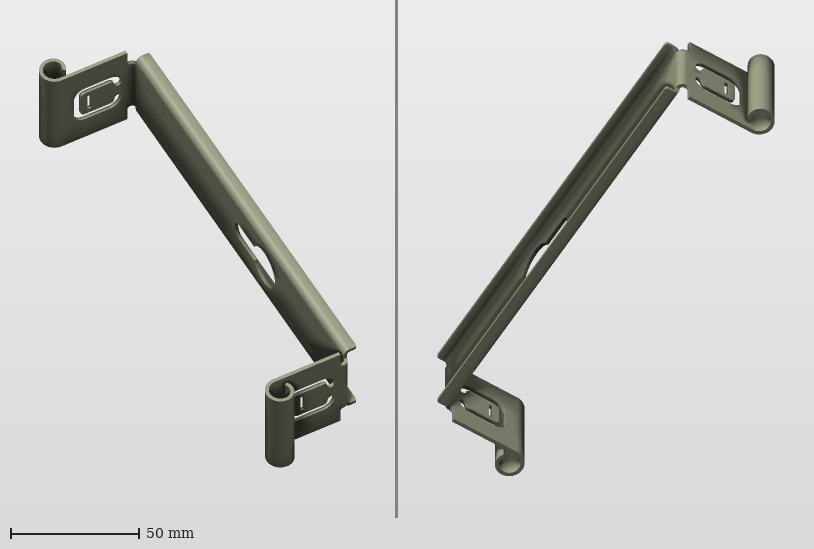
import cadquery as cq
import math

thickness = 1.5
bend_inner = 1.5
bend_outer = bend_inner + thickness

overall_length = 197.0
overall_depth = 44.0
leg_height = 40.0

channel_height = 34.0
flange_reach = 4.5
flange_corner_radius = 1.0

curl_outer = 6.0
curl_tail_outer = 5.0
curl_tail_sweep = 129.0
curl_inner = curl_outer - thickness
curl_tail_inner = curl_tail_outer - thickness
leg_inside_x = overall_length / 2 - 2 * curl_outer
leg_outside_x = leg_inside_x + thickness
channel_half_length = leg_outside_x - bend_outer
curl_x = leg_inside_x + curl_outer
curl_y = flange_reach - overall_depth + curl_outer
curl_tail_x = curl_x + curl_outer - curl_tail_outer

neck_height = 25.5
relief_radius = 1.4
relief_front_y = -(bend_outer + relief_radius)

keyhole_slot_width = 8.2
keyhole_slot_x = 0.0
keyhole_circle_diameter = 18.0
keyhole_circle_x = 20.0

tongue_slot_width = 3.0
tongue_path_height = 15.5
tongue_path_back_y = -8.6
tongue_path_front_y = -26.6
tongue_path_radius = 3.5
tongue_slot_end_z = tongue_path_height / 2 - tongue_path_radius

window_width = 1.7
window_height = 8.0
window_y = -21.3


def polar(center_x, center_y, radius, degrees):
    """Point on a circle at the given angle from +X."""
    angle = math.radians(degrees)
    return (center_x + radius * math.cos(angle), center_y + radius * math.sin(angle))


def make_channel():
    """Web with both flanges bent towards +Y."""
    half_height = channel_height / 2
    section = (
        cq.Workplane("YZ")
        .moveTo(flange_reach, half_height)
        .lineTo(bend_inner, half_height)
        .radiusArc((-thickness, half_height - bend_outer), -bend_outer)
        .lineTo(-thickness, bend_outer - half_height)
        .radiusArc((bend_inner, -half_height), -bend_outer)
        .lineTo(flange_reach, -half_height)
        .lineTo(flange_reach, thickness - half_height)
        .lineTo(bend_inner, thickness - half_height)
        .radiusArc((0, bend_outer - half_height), bend_inner)
        .lineTo(0, half_height - bend_outer)
        .radiusArc((bend_inner, half_height - thickness), bend_inner)
        .lineTo(flange_reach, half_height - thickness)
        .close()
    )
    channel = section.extrude(channel_half_length, both=True)
    return channel.edges("|Z and >Y").fillet(flange_corner_radius)


def make_leg_strip():
    """Bend, straight leg and two-radius curl of the +X end, at full leg height."""
    tail_middle_angle = curl_tail_sweep / 2
    section = (
        cq.Workplane("XY")
        .moveTo(channel_half_length, 0)
        .radiusArc((leg_outside_x, -bend_outer), bend_outer)
        .lineTo(leg_outside_x, curl_y)
        .threePointArc((curl_x, curl_y - curl_inner), (curl_x + curl_inner, curl_y))
        .threePointArc(
            polar(curl_tail_x, curl_y, curl_tail_inner, tail_middle_angle),
            polar(curl_tail_x, curl_y, curl_tail_inner, curl_tail_sweep),
        )
        .lineTo(*polar(curl_tail_x, curl_y, curl_tail_outer, curl_tail_sweep))
        .threePointArc(
            polar(curl_tail_x, curl_y, curl_tail_outer, tail_middle_angle),
            (curl_x + curl_outer, curl_y),
        )
        .threePointArc((curl_x, curl_y - curl_outer), (leg_inside_x, curl_y))
        .lineTo(leg_inside_x, -bend_outer)
        .radiusArc((channel_half_length, -thickness), -bend_inner)
        .close()
    )
    return section.extrude(leg_height / 2, both=True)


def make_reliefs():
    """Notch cutters above and below the neck, rounded at the inner corner."""
    relief_length = bend_outer
    relief_height = (leg_height - neck_height) / 2
    relief_depth = -relief_front_y
    upper = (
        cq.Workplane("XY")
        .box(relief_length, relief_depth, relief_height, centered=False)
        .edges("|X and <Y and <Z")
        .fillet(relief_radius)
        .translate((channel_half_length, relief_front_y, neck_height / 2))
    )
    return upper.union(upper.mirror("XY"))


def leg_plane():
    """Sketch plane on the inside face of the +X leg; local axes are Y and Z."""
    return cq.Workplane("YZ", origin=(leg_inside_x, 0, 0))


def make_tongue_cutter():
    """C-shaped slot with round ends, open towards the web, plus the window."""
    half_width = tongue_slot_width / 2
    path_length = tongue_path_back_y - tongue_path_front_y
    path_center_y = (tongue_path_back_y + tongue_path_front_y) / 2

    def rounded_block(offset):
        return (
            leg_plane()
            .center(path_center_y, 0)
            .rect(path_length + 2 * offset, tongue_path_height + 2 * offset)
            .extrude(thickness)
            .edges("|X")
            .fillet(tongue_path_radius + offset)
        )

    ring = rounded_block(half_width).cut(rounded_block(-half_width))
    bridge = (
        leg_plane()
        .center(tongue_path_back_y, 0)
        .rect(2 * tongue_slot_width, 2 * tongue_slot_end_z)
        .extrude(thickness)
    )
    slot_ends = (
        leg_plane()
        .pushPoints([(tongue_path_back_y, side * tongue_slot_end_z) for side in (-1, 1)])
        .circle(half_width)
        .extrude(thickness)
    )
    window = leg_plane().center(window_y, 0).rect(window_width, window_height).extrude(thickness)
    return ring.cut(bridge).union(slot_ends).union(window)


def make_keyhole_cutter():
    """Round hole with a narrower round-ended slot running towards -X."""
    slot_length = keyhole_circle_x - keyhole_slot_x
    plane = cq.Workplane("XZ")
    circle = plane.center(keyhole_circle_x, 0).circle(keyhole_circle_diameter / 2).extrude(thickness)
    slot_end = plane.center(keyhole_slot_x, 0).circle(keyhole_slot_width / 2).extrude(thickness)
    slot = (
        plane.center(keyhole_slot_x + slot_length / 2, 0)
        .rect(slot_length, keyhole_slot_width)
        .extrude(thickness)
    )
    return circle.union(slot).union(slot_end)


channel = make_channel().cut(make_keyhole_cutter())
leg = make_leg_strip().cut(make_reliefs()).cut(make_tongue_cutter())
result = channel.union(leg).union(leg.mirror("YZ"))